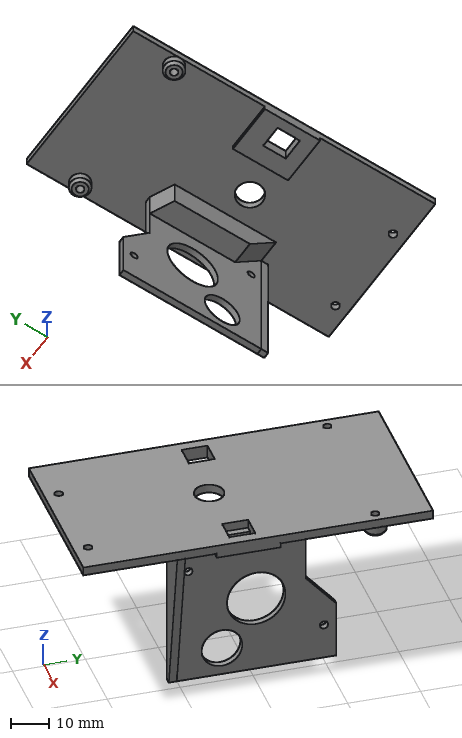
import cadquery as cq

plate_width = 50.0
plate_length = 96.0
plate_thickness = 2.5
plate_edge_x = plate_width / 2

center_hole_diameter = 8.0
center_hole_y = -6.0
window_width = 6.7
window_length = 7.1
window_x = 18.65
window_y = -3.45
front_hole_diameter = 2.3
front_hole_xs = (-11.0, 16.0)
front_hole_y = -44.0

pad_width = 15.0
pad_length = 17.5
pad_depth = 1.25
pad_y = -2.6
pad_x = plate_edge_x - pad_width / 2

boss_diameter = 6.0
boss_depth = 3.0
boss_taper_depth = 0.85
boss_taper_inset = 0.75
boss_hole_diameter = 2.2
boss_x = plate_edge_x - boss_diameter / 2
boss_y = 33.0

wall_depth = 43.3
wall_inner_x = 15.3
wall_thickness = 1.9
wall_front_y = -20.0
wall_back_y = 23.8
wall_top_back_y = 15.4
wall_slope_top_z = -17.5
wall_slope_bottom_z = -27.0

rib_thickness = 2.2

block_width = 6.9
block_depth = 8.1
block_front_taper = 8.3
block_back_taper = 3.2

wall_holes = (
    (16.0, 1.8, -21.3),
    (11.1, -7.6, -35.1),
    (2.2, -16.8, -9.5),
    (2.2, 20.4, -33.1),
)


def make_boss(x):
    """Boss hanging from the plate underside, chamfered at its lower end."""
    boss = cq.Workplane("XY").center(x, boss_y).circle(boss_diameter / 2).extrude(-boss_depth)
    return boss.faces("<Z").chamfer(boss_taper_depth, boss_taper_inset)


def make_plate():
    """Plate with its pads, bosses, windows and holes."""
    plate = cq.Workplane("XY").box(
        plate_width, plate_length, plate_thickness, centered=(True, True, False)
    )
    pads = (
        cq.Workplane("XY")
        .pushPoints([(-pad_x, pad_y), (pad_x, pad_y)])
        .rect(pad_width, pad_length)
        .extrude(-pad_depth)
    )
    plate = plate.union(pads)
    for x in (-boss_x, boss_x):
        plate = plate.union(make_boss(x))

    cutter_plane = cq.Workplane("XY").workplane(offset=-boss_depth)
    cutter_height = boss_depth + plate_thickness
    center_hole = (
        cutter_plane.center(0, center_hole_y).circle(center_hole_diameter / 2).extrude(cutter_height)
    )
    windows = (
        cutter_plane.pushPoints([(-window_x, window_y), (window_x, window_y)])
        .rect(window_width, window_length)
        .extrude(cutter_height)
    )
    front_holes = (
        cutter_plane.pushPoints([(x, front_hole_y) for x in front_hole_xs])
        .circle(front_hole_diameter / 2)
        .extrude(cutter_height)
    )
    boss_holes = (
        cutter_plane.pushPoints([(-boss_x, boss_y), (boss_x, boss_y)])
        .circle(boss_hole_diameter / 2)
        .extrude(cutter_height)
    )
    return plate.cut(center_hole).cut(windows).cut(front_holes).cut(boss_holes)


def make_wall():
    """Flat wall with a stepped-out lower back corner."""
    return (
        cq.Workplane("YZ", origin=(wall_inner_x, 0, 0))
        .moveTo(wall_front_y, 0)
        .lineTo(wall_top_back_y, 0)
        .lineTo(wall_top_back_y, wall_slope_top_z)
        .lineTo(wall_back_y, wall_slope_bottom_z)
        .lineTo(wall_back_y, -wall_depth)
        .lineTo(wall_front_y, -wall_depth)
        .close()
        .extrude(wall_thickness)
    )


def make_rib():
    """Rib in front of the wall, as thin as the wall at the bottom and reaching the plate edge at the top."""
    return (
        cq.Workplane("XZ", origin=(0, wall_front_y, 0))
        .moveTo(wall_inner_x, 0)
        .lineTo(plate_edge_x, 0)
        .lineTo(wall_inner_x + wall_thickness, -wall_depth)
        .lineTo(wall_inner_x, -wall_depth)
        .close()
        .extrude(rib_thickness)
    )


def make_block():
    """Block with a sloped front face and a back face that tapers in plan."""
    block_inner_x = wall_inner_x - block_width
    side_profile = (
        cq.Workplane("YZ", origin=(block_inner_x, 0, 0))
        .moveTo(wall_front_y, 0)
        .lineTo(wall_top_back_y, 0)
        .lineTo(wall_top_back_y, -block_depth)
        .lineTo(wall_front_y + block_front_taper, -block_depth)
        .close()
        .extrude(block_width)
    )
    back_corner = (
        cq.Workplane("XY")
        .moveTo(block_inner_x, wall_top_back_y)
        .lineTo(wall_inner_x, wall_top_back_y)
        .lineTo(block_inner_x, wall_top_back_y - block_back_taper)
        .close()
        .extrude(-block_depth)
    )
    return side_profile.cut(back_corner)


def make_holder():
    """Plate, wall and block as one solid, with the wall holes cut through."""
    holder = make_plate().union(make_wall()).union(make_block())
    for diameter, y, z in wall_holes:
        hole = (
            cq.Workplane("YZ", origin=(wall_inner_x, 0, 0))
            .center(y, z)
            .circle(diameter / 2)
            .extrude(wall_thickness)
        )
        holder = holder.cut(hole)
    return holder


holder = make_holder()
rib = make_rib()

result = cq.Compound.makeCompound([holder.val(), rib.val()])